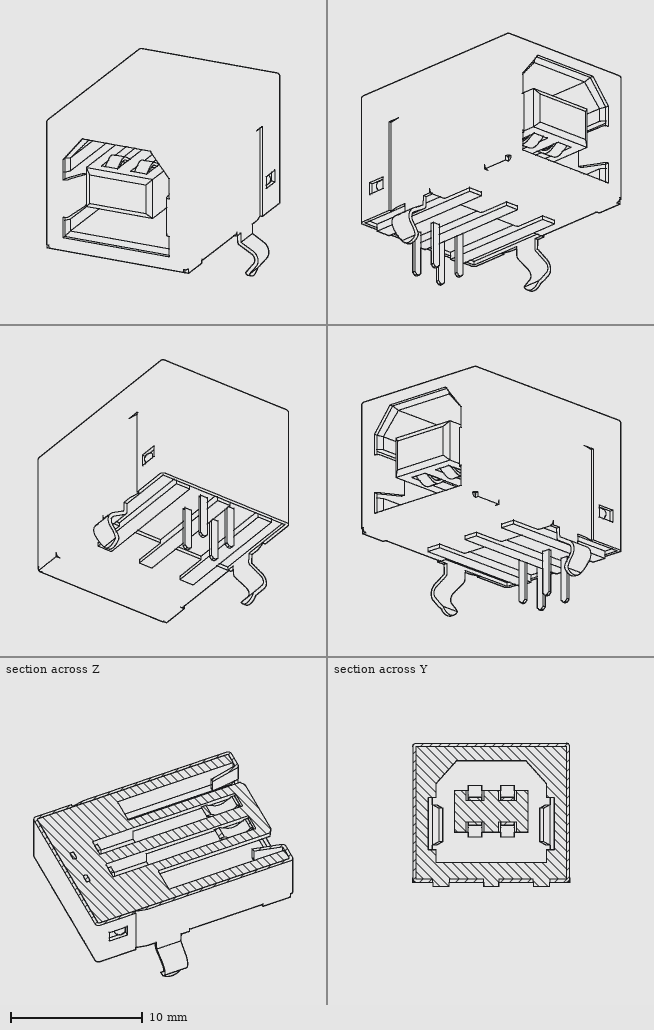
import cadquery as cq
import math


SIDES = (-1, 1)

width = 12.0
length = 16.5
height = 10.65
wall = 0.3
lower_radius = 0.36
bottom_plate_end = 8.73
side_fold_start = 2.62

half_width = width / 2
inner_half_width = half_width - wall
inner_top = height - wall
inner_rear = length - wall

opening_width = 8.96
opening_half_width = opening_width / 2
opening_half_top = 2.87
opening_bottom = 1.2
opening_shoulder = 7.62
opening_top = 9.6

step_y = 13.22
step_depth = 0.2
step_bend_y = 12.18
step_bend_run = 0.1
step_top = 7.4

window_front = 13.91
window_rear = 15.43
window_bottom = 2.05
window_top = 3.02
bump_y = 14.4
bump_z = 2.54
bump_radius = 0.45
bump_height = 0.35

spring_bottom = 2.87
spring_top = 5.94
spring_taper = 0.26
spring_bend = 0.33
spring_tip_x = 3.68
spring_end = 2.48

clip_y = 10.46
clip_half_width = 1.04
clip_tip_radius = 0.9
clip_end = -3.75
clip_span = 14.83
clip_bend_radius = 0.84
clip_bend_x = clip_span / 2 - clip_bend_radius
clip_bend_z = -2.05
clip_tip_x = 6.29
clip_upper_slope = 29.0
clip_lower_slope = 51.0

cavity_end = 9.9
lead_in = 0.4
cavity_half_width = 4.2
cavity_half_top = 2.64
cavity_bottom = 1.55
cavity_shoulder = 7.54
cavity_top = 9.29
spring_pocket_half_width = 4.78
spring_pocket_bottom = 2.52
spring_pocket_top = 6.48
rib_height = 0.3
rib_front = 5.94
middle_rib_width = 1.17
outer_rib_width = 1.24
outer_rib_x = 3.83

tongue_width = 5.61
tongue_height = 3.2
tongue_z = 5.45
tongue_bevel = 0.43
tongue_bevel_depth = 0.3

pin_x = 1.24
upper_leg_y = 15.2
lower_leg_y = 13.15
contact_width = 1.04
leg_width = 0.63
pin_thickness = 0.25
leg_end = -3.32
leg_tip_bevel = 0.2
slot_width = 1.35
slot_front = 1.4
slot_floor = 0.82
slot_roof = 2.5
contact_crest = 1.98
crest_y = 2.8
contact_tip_y = 1.53
contact_tip_height = 1.25
ramp_y = 1.88
ramp_height = 1.57
crest_half_run = 0.43
crest_drop = 0.12
contact_rear_y = 4.57


def box(x0, x1, y0, y1, z0, z1):
    return cq.Workplane("XY").box(x1 - x0, y1 - y0, z1 - z0, centered=False).translate((x0, y0, z0))


def mouth_outline(y, half_bottom, half_top, bottom, shoulder, top):
    """Closed outline of the mating opening in the plane at depth y."""
    points = [
        (-half_bottom, bottom),
        (half_bottom, bottom),
        (half_bottom, shoulder),
        (half_top, top),
        (-half_top, top),
        (-half_bottom, shoulder),
    ]
    return cq.Wire.makePolygon([cq.Vector(x, y, z) for x, z in points], close=True)


def opening_outline(y):
    return mouth_outline(
        y, opening_half_width, opening_half_top, opening_bottom, opening_shoulder, opening_top
    )


def cavity_outline(y):
    return mouth_outline(
        y, cavity_half_width, cavity_half_top, cavity_bottom, cavity_shoulder, cavity_top
    )


def prism(front, rear):
    return cq.Workplane(obj=cq.Solid.makeLoft([front, rear], True))




def rounding_cutter(extent):
    """Material outside a quarter round of the lower front edge, along +X from the origin."""
    square = box(0, extent, 0, lower_radius, 0, lower_radius)
    round_bar = (
        cq.Workplane("YZ").center(lower_radius, lower_radius).circle(lower_radius).extrude(extent)
    )
    return square.cut(round_bar)


def shell_can():
    """Rounded can with a bottom plate at the front and an open bottom behind it."""
    can = box(-half_width, half_width, 0, length, 0, height)
    can = can.edges("|Z or >Z").fillet(wall)
    can = can.cut(box(-inner_half_width, inner_half_width, wall, inner_rear, wall, inner_top))
    can = can.cut(box(-inner_half_width, inner_half_width, bottom_plate_end, inner_rear, 0, wall))
    return can.cut(prism(opening_outline(0), opening_outline(wall)))


def lower_fold_cutters():
    """Roundings of the bottom plate's front and side folds, and the relief notches at its corners."""
    front = rounding_cutter(2 * inner_half_width).translate((-inner_half_width, 0, 0))
    notch = box(-half_width, -inner_half_width, 0, wall, 0, lower_radius)
    side_fold = (
        rounding_cutter(bottom_plate_end - side_fold_start)
        .rotate((0, 0, 0), (0, 0, 1), -90)
        .translate((-half_width, bottom_plate_end, 0))
    )
    left = notch.union(side_fold)
    return front.union(left).union(left.mirror("YZ"))


def rear_flap_step():
    """Wedge cut from the left side panel: deepest at the rear, bending smoothly to flush."""
    slope = step_depth / (step_y - step_bend_y - step_bend_run)
    angle = math.atan(slope)
    bend_x = step_bend_run * math.sin(angle)
    bend_y = step_bend_y + step_bend_run * (1 + math.cos(angle))
    return (
        cq.Workplane("XY")
        .moveTo(-half_width + step_depth, step_y)
        .lineTo(-half_width + bend_x, bend_y)
        .tangentArcPoint((-half_width, step_bend_y), relative=False)
        .lineTo(-half_width, step_y)
        .close()
        .extrude(step_top)
    )


def side_spring():
    """Left spring: bends inward from the opening's edge and runs rearward, narrowing."""
    bend_x = -opening_half_width + spring_bend
    middle = spring_bend * math.sqrt(0.5)
    strip = (
        cq.Workplane("XY")
        .moveTo(-opening_half_width, 0)
        .threePointArc((-opening_half_width + middle, spring_bend - middle), (bend_x, spring_bend))
        .lineTo(-spring_tip_x, spring_end)
        .lineTo(-spring_tip_x - wall, spring_end)
        .lineTo(-opening_half_width, wall)
        .close()
        .extrude(height)
    )
    side_profile = (
        cq.Workplane("YZ")
        .polyline([
            (0, spring_bottom),
            (spring_bend, spring_bottom),
            (spring_end, spring_bottom + spring_taper),
            (spring_end, spring_top - spring_taper),
            (spring_bend, spring_top),
            (0, spring_top),
        ])
        .close()
        .extrude(-half_width)
    )
    return strip.intersect(side_profile)


def clip_outline():
    """Right clip seen along Y: straight leg, outward bulge, straight tip."""
    upper = math.radians(90 - clip_upper_slope)
    lower = math.radians(clip_lower_slope - 90)
    upper_fall = math.tan(math.radians(clip_upper_slope))
    lower_fall = math.tan(math.radians(clip_lower_slope))
    inner_radius = clip_bend_radius - wall

    def bend_point(radius, angle):
        return (clip_bend_x + radius * math.cos(angle), clip_bend_z + radius * math.sin(angle))

    def leg_corner(start, x):
        return (x, start[1] + (start[0] - x) * upper_fall)

    def tip_corner(start, x):
        return (x, start[1] - (start[0] - x) * lower_fall)

    outer_start = bend_point(clip_bend_radius, upper)
    outer_end = bend_point(clip_bend_radius, lower)
    inner_start = bend_point(inner_radius, upper)
    inner_end = bend_point(inner_radius, lower)
    return (
        cq.Workplane("XZ")
        .moveTo(half_width, wall)
        .lineTo(*leg_corner(outer_start, half_width))
        .lineTo(*outer_start)
        .threePointArc(bend_point(clip_bend_radius, 0), outer_end)
        .lineTo(*tip_corner(outer_end, clip_tip_x + wall))
        .lineTo(clip_tip_x + wall, clip_end)
        .lineTo(clip_tip_x, clip_end)
        .lineTo(*tip_corner(inner_end, clip_tip_x))
        .lineTo(*inner_end)
        .threePointArc(bend_point(inner_radius, 0), inner_start)
        .lineTo(*leg_corner(inner_start, inner_half_width))
        .lineTo(inner_half_width, wall)
        .close()
    )


def board_clip():
    """Right clip, rounded at its first bend and tapering along its length to a round tip."""
    strip = clip_outline().extrude(-length)
    strip = strip.edges("|Y").edges("<X").edges("<Z").fillet(wall)
    tip_z = clip_end + clip_tip_radius
    side_profile = (
        cq.Workplane("YZ")
        .moveTo(clip_y - clip_half_width, wall)
        .lineTo(clip_y - clip_half_width, 0)
        .lineTo(clip_y - clip_tip_radius, tip_z)
        .threePointArc((clip_y, clip_end), (clip_y + clip_tip_radius, tip_z))
        .lineTo(clip_y + clip_half_width, 0)
        .lineTo(clip_y + clip_half_width, wall)
        .close()
        .extrude(width)
    )
    return strip.intersect(side_profile)


def make_shell():
    shell = shell_can().cut(lower_fold_cutters()).cut(ribs())
    spring = side_spring()
    clip = board_clip()
    step = rear_flap_step()
    shell = shell.union(spring).union(spring.mirror("YZ"))
    shell = shell.union(clip).union(clip.mirror("YZ"))
    shell = shell.cut(step).cut(step.mirror("YZ"))
    windows = box(-half_width, half_width, window_front, window_rear, window_bottom, window_top)
    return shell.cut(windows)




def ribs():
    """Three standoff ribs under the housing."""

    def rib(x, rib_width):
        return box(x - rib_width / 2, x + rib_width / 2, rib_front, inner_rear, -rib_height, wall)

    bars = rib(0, middle_rib_width)
    for side in SIDES:
        bars = bars.union(rib(side * outer_rib_x, outer_rib_width))
    return bars


def cavity():
    bevel_end = wall + lead_in
    bevel = prism(opening_outline(wall), cavity_outline(bevel_end))
    bore = prism(cavity_outline(bevel_end), cavity_outline(cavity_end))
    spring_pockets = box(
        -spring_pocket_half_width, spring_pocket_half_width,
        wall, cavity_end,
        spring_pocket_bottom, spring_pocket_top,
    )
    return bevel.union(bore).union(spring_pockets)


def tongue():
    def section(y, inset):
        return (
            cq.Workplane("XZ", origin=(0, y, tongue_z))
            .rect(tongue_width - 2 * inset, tongue_height - 2 * inset)
            .wire().val()
        )

    bevel_end = wall + tongue_bevel_depth
    nose = prism(section(wall, tongue_bevel), section(bevel_end, 0))
    return nose.union(prism(section(bevel_end, 0), section(cavity_end, 0)))


def pin_slot(x, level, leg_y):
    """Contact slot plus the hole for the leg; level is 1 above the tongue's middle, -1 below."""
    slot_z = sorted(tongue_z + level * offset for offset in (slot_floor, slot_roof))
    leg_rear = leg_y + pin_thickness / 2
    slot = box(x - slot_width / 2, x + slot_width / 2, slot_front, leg_rear, *slot_z)
    return slot.union(pin_leg(x, level, leg_y))


def latch_bump():
    """Domed bump on the right wall of the housing."""
    sphere_radius = (bump_radius ** 2 + bump_height ** 2) / (2 * bump_height)
    sphere_x = inner_half_width + bump_height - sphere_radius
    middle_angle = math.asin(bump_radius / sphere_radius) / 2
    arc_middle = (sphere_x + sphere_radius * math.cos(middle_angle), sphere_radius * math.sin(middle_angle))
    return (
        cq.Workplane("XY")
        .moveTo(inner_half_width, 0)
        .lineTo(inner_half_width + bump_height, 0)
        .threePointArc(arc_middle, (inner_half_width, bump_radius))
        .close()
        .revolve(360, (0, 0, 0), (1, 0, 0))
        .translate((0, bump_y, bump_z))
    )


def make_housing():
    housing = box(-inner_half_width, inner_half_width, wall, inner_rear, wall, inner_top)
    housing = housing.cut(cavity()).union(tongue()).union(ribs())
    for position in pin_positions:
        housing = housing.cut(pin_slot(*position))
    bump = latch_bump()
    housing = housing.union(bump).union(bump.mirror("YZ"))
    return housing




def pin_leg(x, level, leg_y):
    """Straight leg from the contact strip down to its bevelled tip."""
    leg_top = tongue_z + level * slot_floor + pin_thickness / 2
    return (
        box(
            x - leg_width / 2, x + leg_width / 2,
            leg_y - pin_thickness / 2, leg_y + pin_thickness / 2,
            leg_end, leg_top,
        )
        .edges("|Y and <Z")
        .chamfer(leg_tip_bevel)
    )


def contact_strip(x, level, leg_y):
    """Strip bulging out of the tongue near its tip and running along the slot floor to the leg."""
    run = slot_floor + pin_thickness
    shoulder = contact_crest - crest_drop
    crest_front = crest_y - crest_half_run
    crest_rear = crest_y + crest_half_run
    leg_rear = leg_y + pin_thickness / 2

    def at(y, offset):
        return (y, tongue_z + level * offset)

    return (
        cq.Workplane("YZ", origin=(x - contact_width / 2, 0, 0))
        .moveTo(*at(contact_tip_y, contact_tip_height))
        .lineTo(*at(ramp_y, ramp_height))
        .lineTo(*at(crest_front, shoulder))
        .threePointArc(at(crest_y, contact_crest), at(crest_rear, shoulder))
        .lineTo(*at(contact_rear_y, run))
        .lineTo(*at(leg_rear, run))
        .lineTo(*at(leg_rear, slot_floor))
        .lineTo(*at(contact_rear_y, slot_floor))
        .lineTo(*at(crest_rear, shoulder - pin_thickness))
        .threePointArc(
            at(crest_y, contact_crest - pin_thickness),
            at(crest_front, shoulder - pin_thickness),
        )
        .lineTo(*at(ramp_y, ramp_height - pin_thickness))
        .lineTo(*at(contact_tip_y, contact_tip_height - pin_thickness))
        .close()
        .extrude(contact_width)
    )


def make_pin(x, level, leg_y):
    return contact_strip(x, level, leg_y).union(pin_leg(x, level, leg_y))


pin_positions = [
    (side * pin_x, level, leg_y)
    for level, leg_y in ((1, upper_leg_y), (-1, lower_leg_y))
    for side in SIDES
]

shell = make_shell()
housing = make_housing()
pins = [make_pin(*position) for position in pin_positions]

result = cq.Compound.makeCompound([shell.val(), housing.val(), *[pin.val() for pin in pins]])